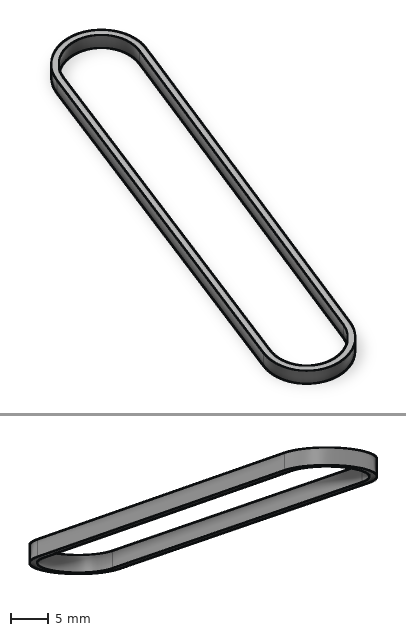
import cadquery as cq
import math

length = 73.25
height = 2.4
wall = 1.0
left_radius = 6.75
right_radius = 6.5

left_x = left_radius - length / 2
right_x = length / 2 - right_radius


def belt_outline(left_r, right_r):
    """Closed outline of two arcs joined by their outer tangent lines."""
    slope = math.asin((left_r - right_r) / (right_x - left_x))
    across = math.cos(slope)
    along = math.sin(slope)
    left_tangent = (left_x + left_r * along, left_r * across)
    right_tangent = (right_x + right_r * along, right_r * across)
    return (
        cq.Workplane("XY")
        .moveTo(*left_tangent)
        .lineTo(*right_tangent)
        .threePointArc((right_x + right_r, 0), (right_tangent[0], -right_tangent[1]))
        .lineTo(left_tangent[0], -left_tangent[1])
        .threePointArc((left_x - left_r, 0), left_tangent)
        .close()
    )


outer = belt_outline(left_radius, right_radius).extrude(height)
opening = belt_outline(left_radius - wall, right_radius - wall).extrude(height)
result = outer.cut(opening)